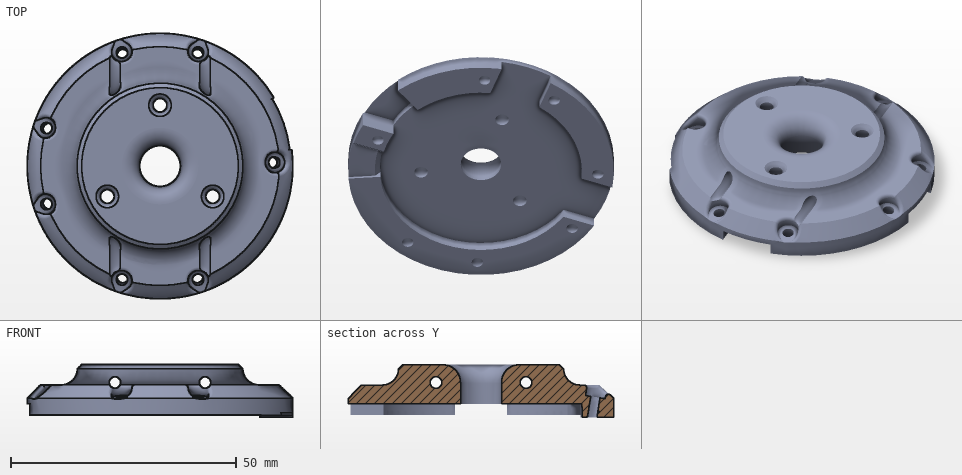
import cadquery as cq
import math

TOTAL_HEIGHT = 11.75
LUG_DROP = 0.5
RIM_WALL_HEIGHT = 3.75
BASE_Z = LUG_DROP
RIM_Z = BASE_Z + RIM_WALL_HEIGHT

RIM_RADIUS = 29.5
RIM_CHAMFER = 3.0
RIM_EXCESS = 2.5
HUB_RADIUS = 18.4
HUB_CHAMFER = 1.0
DECK_Z = RIM_Z + RIM_CHAMFER
HUB_FILLET = TOTAL_HEIGHT - HUB_CHAMFER - DECK_Z
DECK_RADIUS = RIM_RADIUS - RIM_CHAMFER

BORE_RADIUS = 4.5
MOUTH_RADIUS = 4.0

CAVITY_RADIUS = 22.4
NOTCH_HEIGHT = 2.5
CAVITY_Z = BASE_Z + NOTCH_HEIGHT

NOTCH_WIDTH = 11.6

LUG_Y_MIN = -2.4
LUG_Y_MAX = 3.66
LUG_CHAMFER = 0.6
OPEN_TOP_Z = 4.68
OPEN_END_ANGLE = 31.0
SHELF_HEIGHT = 0.55
SHELF_Z = BASE_Z + SHELF_HEIGHT
SHELF_END_ANGLE = -24.3
SHELF_CHAMFER = 1.15

HUB_HOLE_COUNT = 3
HUB_HOLE_CIRCLE = 13.5
HUB_HOLE_DIAMETER = 3.0
HUB_SINK_DIAMETER = 5.0
HUB_SINK_ANGLE = 90.0
HUB_HOLE_START = 90.0

PAIR_HALF_ANGLE = 18.5
PAIR_CIRCLE = 26.6
SINGLE_CIRCLE = 25.4
SINGLE_ANGLE = 1.8
RIM_HOLES = [(SINGLE_CIRCLE, SINGLE_ANGLE)] + [
    (PAIR_CIRCLE, side + sign * PAIR_HALF_ANGLE)
    for side in (90.0, 180.0, 270.0)
    for sign in (-1, 1)
]
RIM_HOLE_DIAMETER = 2.5
RIM_HOLE_TILT = 9.0
POCKET_DIAMETER = 4.6
POCKET_OVERBORE = 2.5
POCKET_FLOOR_Z = 4.55
POCKET_FILLET = 0.7

PIN_OFFSET = 10.0
PIN_DIAMETER = 2.5
PIN_LIFT = 0.5
PIN_Z = DECK_Z + PIN_LIFT


def cylinder(radius, z_low, z_high):
    return cq.Workplane("XY").workplane(offset=z_low).circle(radius).extrude(z_high - z_low)


def block(x_min, x_max, y_min, y_max, z_min, z_max):
    size = (x_max - x_min, y_max - y_min, z_max - z_min)
    return cq.Workplane("XY").box(*size, centered=False).translate((x_min, y_min, z_min))


def make_body():
    """Revolved cap with the bore, the hollow underside and an oversized rim."""
    arc_offset = HUB_FILLET * (1 - math.sqrt(0.5))
    mouth_offset = MOUTH_RADIUS * (1 - math.sqrt(0.5))
    profile = (
        cq.Workplane("XZ")
        .moveTo(BORE_RADIUS, CAVITY_Z)
        .lineTo(CAVITY_RADIUS, CAVITY_Z)
        .lineTo(CAVITY_RADIUS, BASE_Z)
        .lineTo(RIM_RADIUS + RIM_EXCESS, BASE_Z)
        .lineTo(RIM_RADIUS + RIM_EXCESS, RIM_Z - RIM_EXCESS)
        .lineTo(DECK_RADIUS, DECK_Z)
        .lineTo(HUB_RADIUS + HUB_FILLET, DECK_Z)
        .threePointArc(
            (HUB_RADIUS + arc_offset, DECK_Z + arc_offset),
            (HUB_RADIUS, DECK_Z + HUB_FILLET),
        )
        .lineTo(HUB_RADIUS - HUB_CHAMFER, TOTAL_HEIGHT)
        .lineTo(BORE_RADIUS + MOUTH_RADIUS, TOTAL_HEIGHT)
        .threePointArc(
            (BORE_RADIUS + mouth_offset, TOTAL_HEIGHT - mouth_offset),
            (BORE_RADIUS, TOTAL_HEIGHT - MOUTH_RADIUS),
        )
        .close()
    )
    return profile.revolve(360, (0, 0, 0), (0, 1, 0))


def rim_hole_cutter(diameter, z_from, z_to, distance, angle):
    """Tilted round cutter on a rim screw axis, heights measured from the pocket floor."""
    cutter = cylinder(diameter / 2, z_from, z_to)
    cutter = cutter.rotate((0, 0, 0), (0, 1, 0), RIM_HOLE_TILT)
    cutter = cutter.translate((distance, 0, POCKET_FLOOR_Z))
    return cutter.rotate((0, 0, 0), (0, 0, 1), angle)


def cut_rim_pockets(blank):
    """Screw-head pockets in the rim chamfer with rounded mouths.

    Each pocket is first bored below its floor so that the mouth rounding has room
    to run out, then filled up to the floor again.
    """
    body = blank
    reach = POCKET_DIAMETER / 2 + POCKET_FILLET
    for distance, angle in RIM_HOLES:
        bore = rim_hole_cutter(POCKET_DIAMETER, -POCKET_OVERBORE, TOTAL_HEIGHT, distance, angle)
        body = body.cut(bore)
        x = distance * math.cos(math.radians(angle))
        y = distance * math.sin(math.radians(angle))
        around_mouth = cq.selectors.BoxSelector(
            (x - reach, y - reach, POCKET_FLOOR_Z),
            (x + reach, y + reach, TOTAL_HEIGHT),
        )
        body = body.edges(around_mouth).edges("not %LINE").fillet(POCKET_FILLET)
        plug = rim_hole_cutter(2 * reach, -POCKET_OVERBORE, 0, distance, angle)
        body = body.union(plug.intersect(blank))
    return body


def trim_rim(body):
    """Trim the oversized rim to its finished radius."""
    return body.intersect(cylinder(RIM_RADIUS, 0, TOTAL_HEIGHT))


def cut_wall_notches(body):
    """Straight notches through the ring wall at -X and +Y."""
    half = NOTCH_WIDTH / 2
    notch = block(0, 2 * RIM_RADIUS, -half, half, 0, CAVITY_Z)
    for angle in (90, 180):
        body = body.cut(notch.rotate((0, 0, 0), (0, 0, 1), angle))
    return body


def wall_sector(end_angle, y_edge, z_top):
    """Piece of the ring wall between a radial end and the lug face at y_edge."""
    far = 2 * RIM_RADIUS
    end = math.radians(end_angle)
    wedge = (
        cq.Workplane("XY")
        .polyline([
            (y_edge / math.tan(end), y_edge),
            (far, y_edge),
            (far, far * math.tan(end)),
        ])
        .close()
        .extrude(z_top)
    )
    return wedge.cut(cylinder(CAVITY_RADIUS, 0, z_top))


def shelf_bevel():
    """Conical relief under the inner edge of the low clearance."""
    bevel = cq.Solid.makeCone(
        CAVITY_RADIUS + SHELF_CHAMFER, CAVITY_RADIUS, SHELF_CHAMFER, cq.Vector(0, 0, SHELF_Z)
    )
    side = wall_sector(SHELF_END_ANGLE, LUG_Y_MIN, CAVITY_Z)
    return side.intersect(cq.Workplane(bevel))


def make_lug():
    """Locking lug on the +X wall, bevelled along its lower -Y edge."""
    lug = block(0, RIM_RADIUS, LUG_Y_MIN, LUG_Y_MAX, 0, CAVITY_Z)
    lug = lug.faces("<Y").edges("<Z").chamfer(LUG_CHAMFER)
    ring = cylinder(RIM_RADIUS, 0, CAVITY_Z).cut(cylinder(CAVITY_RADIUS, 0, CAVITY_Z))
    return lug.intersect(ring)


def shape_lug_side(body):
    """Clearances on both sides of the lug, and the lug itself."""
    body = body.cut(wall_sector(OPEN_END_ANGLE, LUG_Y_MAX, OPEN_TOP_Z))
    body = body.cut(wall_sector(SHELF_END_ANGLE, LUG_Y_MIN, SHELF_Z))
    body = body.cut(shelf_bevel())
    return body.union(make_lug())


def drill_rim_holes(body):
    """Screw holes from the pocket floors down through the ring wall."""
    for distance, angle in RIM_HOLES:
        body = body.cut(rim_hole_cutter(RIM_HOLE_DIAMETER, -TOTAL_HEIGHT, 0, distance, angle))
    return body


def drill_hub_holes(body):
    """Countersunk screw holes around the bore."""
    return (
        body.faces(">Z")
        .workplane(origin=(0, 0, TOTAL_HEIGHT))
        .polarArray(HUB_HOLE_CIRCLE, HUB_HOLE_START, 360, HUB_HOLE_COUNT)
        .cskHole(HUB_HOLE_DIAMETER, HUB_SINK_DIAMETER, HUB_SINK_ANGLE)
    )


def drill_pin_holes(body):
    """Cross holes along Y that run out into grooves across the deck."""
    pins = (
        cq.Workplane("XZ")
        .pushPoints([(-PIN_OFFSET, PIN_Z), (PIN_OFFSET, PIN_Z)])
        .circle(PIN_DIAMETER / 2)
        .extrude(RIM_RADIUS, both=True)
    )
    return body.cut(pins)


body = make_body()
body = cut_rim_pockets(body)
body = trim_rim(body)
body = cut_wall_notches(body)
body = shape_lug_side(body)
body = drill_rim_holes(body)
body = drill_hub_holes(body)
result = drill_pin_holes(body)